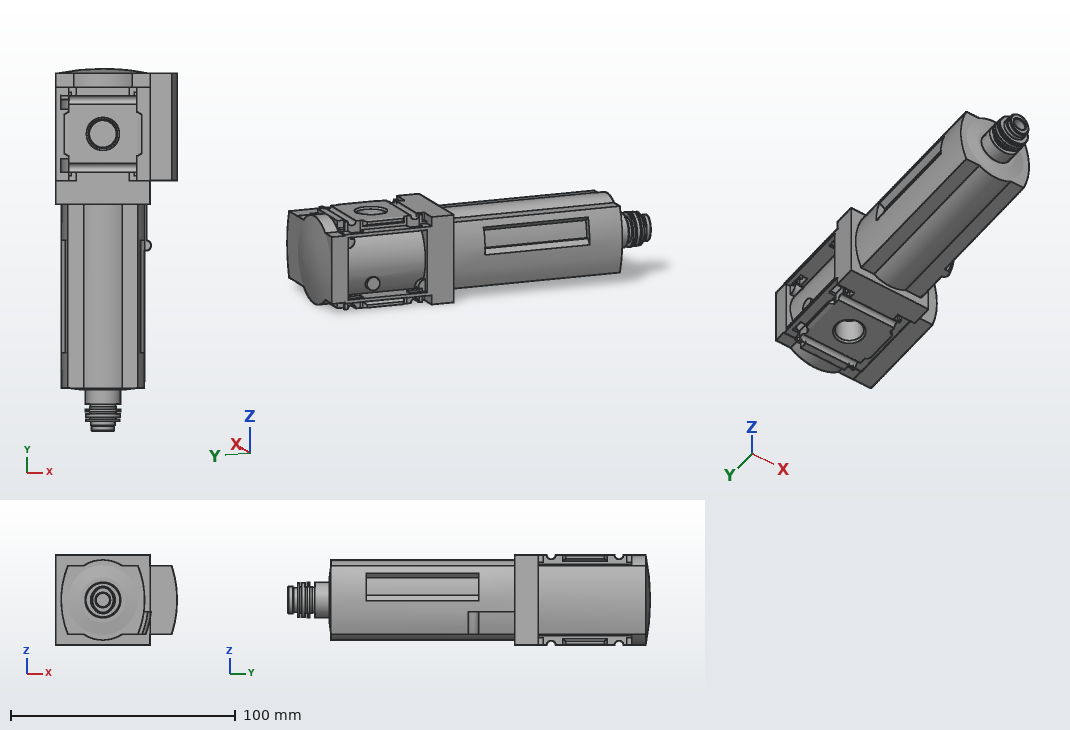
import cadquery as cq
import math


head_half_width = 21.0
head_half_height = 20.1
head_length = 58.5
skirt_length = 10.7
cap_length = 6.3
cap_start = head_length - cap_length
cap_half_height = 15.3
rail_half_height = 15.8
plateau_half_width = 15.2
port_y = (skirt_length + cap_start) / 2

overall_length = 161.4
tip_y = -100.96
dome_radius = 19.9
dome_height = overall_length + tip_y - head_length

cover_reach = 33.1
cover_edge = 30.7
cover_half_height = 15.25

groove_radius = 2.0
groove_spacing = 30.2
notch_inner_x = 11.8
notch_floor = 16.7
post_width = 1.1
post_setback = 2.1
slot_outer_x = 18.7
slot_length = 6.0
slot_floor = 12.9
slot_side_relief = 0.08
ledge_length = 19.9
ledge_reach = 2.1
ledge_taper = 1.3
ledge_root_z = 17.3
ledge_tip_bottom_z = 18.4
ledge_tip_top_z = 19.7
port_mouth_diameter = 14.7
port_bore_diameter = 12.9
port_floor_diameter = 12.1
port_depth = 12.9

window_start = 12.8
window_end = 50.5
window_half_height = 14.28
core_radius = 18.7
pin_diameter = 6.1
pin_end_x = -18.7
pin_root_x = -11.8
pin_centres = [(49.7, 11.86), (37.6, -8.5), (12.9, -11.86)]

bowl_length = 81.7
bowl_half_width = 18.5
bowl_corner_x = 15.58
bowl_flat_z = cover_half_height
bowl_crown_z = 17.84
bowl_crown_half_width = 8.5
bowl_side_rise = bowl_half_width - bowl_corner_x
bowl_side_radius = (bowl_flat_z**2 + bowl_side_rise**2) / (2 * bowl_side_rise)
bowl_side_centre = bowl_half_width - bowl_side_radius

sight_start = 16.0
sight_length = 50.0
sight_depth = 3.4
sight_shelf_depth = 2.0
sight_bottom_z = -0.3
sight_top_z = 12.0
sight_wall_taper = 2.5

latch_top_z = -5.2
latch_thickness = 1.3
latch_knob_height = 3.2
latch_knob_length = 4.5

bottom_cone_radius = 15.5
bottom_ring_radius = 10.0
bottom_cone_height = 0.73

stem_radius = 7.9
stem_end = 88.85
neck_radius = 5.73
sleeve_start = 90.0
sleeve_radius = 5.89
end_neck_radius = 5.5
fins = [(91.2, 1.0, 7.9), (93.1, 1.6, 7.7), (95.5, 1.0, 7.6)]
bead_start = 98.3
bead_half_width = 5.08
bead_half_height = 6.05
bead_chamfer = 0.5
bore_diameter = 6.1
bore_mouth_diameter = 6.8
bore_depth = 6.5


def block(x_range, y_range, z_range):
    """Axis-aligned box from its limits along X, Y and Z."""
    (x0, x1), (y0, y1), (z0, z1) = x_range, y_range, z_range
    return cq.Workplane("XY").box(x1 - x0, y1 - y0, z1 - z0, centered=False).translate((x0, y0, z0))


def cylinder_y(radius, y_start, y_end):
    """Cylinder on the Y axis."""
    return cq.Workplane("XZ", origin=(0, y_start, 0)).circle(radius).extrude(y_start - y_end)


def both_z(shape):
    """The shape together with its mirror image in Z."""
    return shape.union(shape.mirror("XY"))


def head_block():
    full = (-head_half_width, head_half_width)
    plateau_x = (-plateau_half_width, plateau_half_width)
    tall = (-head_half_height, head_half_height)
    skirt = block(full, (0, skirt_length), tall)
    rails = block(full, (skirt_length, cap_start), (-rail_half_height, rail_half_height))
    plateau = block(plateau_x, (skirt_length, cap_start), tall)
    cap = block(full, (cap_start, head_length), (-cap_half_height, cap_half_height))
    cap_disc = cylinder_y(head_half_height, cap_start, head_length)
    return skirt.union(rails).union(plateau).union(cap).union(cap_disc)


def dome():
    top = head_length + dome_height
    sphere_radius = (dome_radius**2 + dome_height**2) / (2 * dome_height)
    mid_x = dome_radius / 2
    mid_y = top - sphere_radius + math.sqrt(sphere_radius**2 - mid_x**2)
    return (
        cq.Workplane("XY")
        .moveTo(0, cap_start)
        .lineTo(dome_radius, cap_start)
        .lineTo(dome_radius, head_length)
        .threePointArc((mid_x, mid_y), (0, top))
        .close()
        .revolve(360, (0, 0), (0, 1))
    )


def side_cover():
    return (
        cq.Workplane("XZ", origin=(0, skirt_length, 0))
        .moveTo(plateau_half_width, -cover_half_height)
        .lineTo(cover_edge, -cover_half_height)
        .threePointArc((cover_reach, 0), (cover_edge, cover_half_height))
        .lineTo(plateau_half_width, cover_half_height)
        .close()
        .extrude(skirt_length - head_length)
    )


def grooves():
    groove_pair = (
        cq.Workplane("YZ", origin=(-plateau_half_width, 0, 0))
        .pushPoints([(port_y + s * groove_spacing / 2, head_half_height) for s in (-1, 1)])
        .circle(groove_radius)
        .extrude(2 * plateau_half_width)
    )
    return both_z(groove_pair)


def corner_notches():
    """L-shaped notches in the plateau corners, each leaving a small outer post."""
    groove_edge = port_y - groove_spacing / 2 - groove_radius
    depth = (notch_floor, head_half_height)
    notch = block((-plateau_half_width, -notch_inner_x), (skirt_length, groove_edge), depth)
    post_x = (-plateau_half_width, -plateau_half_width + post_width)
    notch = notch.cut(block(post_x, (skirt_length + post_setback, groove_edge), depth))
    notch = notch.union(notch.mirror("YZ"))
    notch = notch.union(notch.mirror("XZ", (0, port_y, 0)))
    return both_z(notch)


def rail_slots():
    """Slots through the -X rails into the window, beside the groove ends."""
    outer_edge = groove_spacing / 2 + groove_radius
    slot = block(
        (-slot_outer_x, -plateau_half_width + slot_side_relief),
        (port_y + outer_edge - slot_length, port_y + outer_edge),
        (slot_floor, head_half_height),
    )
    slot = slot.union(slot.mirror("XZ", (0, port_y, 0)))
    return both_z(slot)


def ledges():
    """Clip ledges along the plateau sides, wedge-shaped with tapered ends."""
    tip_x = plateau_half_width + ledge_reach
    half = ledge_length / 2
    ledge = (
        cq.Workplane("XZ", origin=(0, port_y + half, 0))
        .polyline([
            (plateau_half_width, ledge_root_z),
            (tip_x, ledge_tip_bottom_z),
            (tip_x, ledge_tip_top_z),
            (plateau_half_width, head_half_height),
        ])
        .close()
        .extrude(ledge_length)
    )
    plan = (
        cq.Workplane("XY")
        .polyline([
            (plateau_half_width, port_y - half),
            (tip_x, port_y - half + ledge_taper),
            (tip_x, port_y + half - ledge_taper),
            (plateau_half_width, port_y + half),
        ])
        .close()
        .extrude(head_half_height)
    )
    ledge = ledge.intersect(plan)
    ledge = ledge.union(ledge.mirror("YZ"))
    return both_z(ledge)


def ports():
    """Blind ports, chamfered at the mouth and slightly tapered down to the floor."""
    bore_start = head_half_height - (port_mouth_diameter - port_bore_diameter) / 2
    port = (
        cq.Workplane("XZ")
        .polyline([
            (0, head_half_height),
            (port_mouth_diameter / 2, head_half_height),
            (port_bore_diameter / 2, bore_start),
            (port_floor_diameter / 2, head_half_height - port_depth),
            (0, head_half_height - port_depth),
        ])
        .close()
        .revolve(360, (0, 0), (0, 1))
        .translate((0, port_y, 0))
    )
    return both_z(port)


def window_space():
    """Box-shaped space of the window, reaching in to the axis."""
    return block(
        (-head_half_width, 0),
        (window_start, window_end),
        (-window_half_height, window_half_height),
    )


def window():
    """Opening in the -X side that exposes the round core."""
    return window_space().cut(cylinder_y(core_radius, window_start, window_end))


def window_pins():
    """Round pins standing out of the core, cut off where they meet the window walls."""
    pins = (
        cq.Workplane("YZ", origin=(pin_end_x, 0, 0))
        .pushPoints(pin_centres)
        .circle(pin_diameter / 2)
        .extrude(pin_root_x - pin_end_x)
    )
    return pins.intersect(window_space())


def make_head():
    head = head_block().union(dome()).union(side_cover())
    head = head.cut(window()).union(window_pins())
    head = head.cut(grooves()).cut(corner_notches()).cut(rail_slots())
    return head.union(ledges()).cut(ports())


def bowl_barrel():
    w, f = bowl_corner_x, bowl_flat_z
    c = bowl_crown_half_width
    return (
        cq.Workplane("XZ")
        .moveTo(-w, -f)
        .lineTo(-c, -f)
        .threePointArc((0, -bowl_crown_z), (c, -f))
        .lineTo(w, -f)
        .threePointArc((bowl_half_width, 0), (w, f))
        .lineTo(c, f)
        .threePointArc((0, bowl_crown_z), (-c, f))
        .lineTo(-w, f)
        .threePointArc((-bowl_half_width, 0), (-w, -f))
        .close()
        .extrude(bowl_length)
    )


def side_disc(radius, y_start, y_end):
    """Disc sharing its centre with the +X side arc of the bowl."""
    return cylinder_y(radius, y_start, y_end).translate((bowl_side_centre, 0, 0))


def sight_recesses():
    """Recesses in both bowl sides, with sloping long walls, a shelf and a concentric floor."""
    top_x = math.sqrt(bowl_side_radius**2 - sight_top_z**2) + bowl_side_centre
    wedge = (
        cq.Workplane("XZ", origin=(0, -sight_start, 0))
        .polyline([
            (top_x - sight_depth, sight_top_z - sight_wall_taper),
            (top_x, sight_top_z),
            (bowl_half_width, sight_top_z),
            (bowl_half_width, sight_bottom_z),
            (bowl_half_width - sight_shelf_depth, sight_bottom_z + sight_wall_taper),
            (top_x - sight_depth, sight_bottom_z + sight_wall_taper),
        ])
        .close()
        .extrude(sight_length)
    )
    floor_disc = side_disc(bowl_side_radius - sight_depth, -sight_start, -sight_start - sight_length)
    recess = wedge.cut(floor_disc)
    return recess.union(recess.mirror("YZ"))


def latch():
    """Curved latch strip on the +X side, ending in a rounded finger knob."""
    surface = bowl_side_centre + bowl_side_radius
    strip_x = surface + latch_thickness
    knob_end = -sight_start - latch_knob_length
    knob_tip = (surface + latch_knob_height, -sight_start - latch_knob_length / 2)
    inside_x = surface - latch_thickness
    profile = (
        cq.Workplane("XY")
        .moveTo(inside_x, 0)
        .lineTo(strip_x, 0)
        .lineTo(strip_x, -sight_start)
        .threePointArc(knob_tip, (surface, knob_end))
        .lineTo(inside_x, knob_end)
        .close()
    )
    ring = profile.revolve(360, (bowl_side_centre, 0), (bowl_side_centre, 1))
    zone = block((0, cover_edge), (knob_end, 0), (-bowl_flat_z, latch_top_z))
    return ring.intersect(zone)


def bottom_cone():
    return (
        cq.Workplane("XY")
        .polyline([
            (0, -bowl_length),
            (bottom_cone_radius, -bowl_length),
            (bottom_ring_radius, -bowl_length - bottom_cone_height),
            (0, -bowl_length - bottom_cone_height),
        ])
        .close()
        .revolve(360, (0, 0), (0, 1))
    )


def drain():
    nozzle = cylinder_y(stem_radius, -stem_end, -bowl_length)
    last_start, last_thickness, _ = fins[-1]
    sleeve_end = last_start + last_thickness
    nozzle = nozzle.union(cylinder_y(neck_radius, -sleeve_start, -stem_end))
    nozzle = nozzle.union(cylinder_y(sleeve_radius, -sleeve_end, -sleeve_start))
    for start, thickness, radius in fins:
        nozzle = nozzle.union(cylinder_y(radius, -start - thickness, -start))
    nozzle = nozzle.union(cylinder_y(end_neck_radius, -bead_start, -sleeve_end))
    bead = (
        cq.Workplane("XZ", origin=(0, -bead_start, 0))
        .ellipse(bead_half_width, bead_half_height)
        .extrude(-bead_start - tip_y)
        .faces("|Y")
        .chamfer(bead_chamfer)
    )
    nozzle = nozzle.union(bead)
    mouth_depth = (bore_mouth_diameter - bore_diameter) / 2
    bore = cylinder_y(bore_diameter / 2, tip_y, tip_y + bore_depth)
    mouth = (
        cq.Workplane("XZ", origin=(0, tip_y, 0))
        .circle(bore_mouth_diameter / 2)
        .extrude(-mouth_depth, taper=45)
    )
    return nozzle.cut(bore).cut(mouth)


def make_bowl():
    bowl = bowl_barrel().cut(sight_recesses())
    return bowl.union(latch()).union(bottom_cone()).union(drain())


head = make_head()
bowl = make_bowl()
result = cq.Compound.makeCompound([head.val(), bowl.val()])